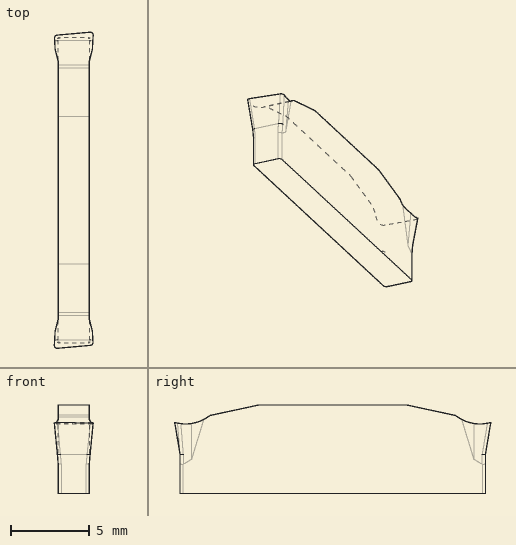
import cadquery as cq
import math

blade_width = 2.0
blade_height = 5.68
blade_half_length = 9.77
corner_radius = 0.2

flat_half_length = 4.71
crown_y, crown_z = 7.8, 5.01
groove_y, groove_z = 8.0, 4.9
groove_mid_y, groove_mid_z = 8.75, 4.55
land_y, land_z = 9.58, 4.47
tip_y, tip_z = 10.1, 4.55
crown_rise = 0.015

flare_angle = 5.0
relief_angle = 3.0
neck_angle = 16.0
root_y = 7.68
crease_y = 9.02
front_foot_z = 2.5
head_bottom_z = 1.62
head_top_z = 4.85
crease_foot_z = 2.2
far_tip_y = 10.13
near_tip_y = 9.9


def make_envelope():
    """Solid with the top outline, wider and longer than the part below the tips."""
    envelope_width = 2 * blade_width
    crown_mid = ((crown_y + groove_y) / 2, (crown_z + groove_z) / 2 + crown_rise)
    end_half = (
        cq.Workplane("YZ")
        .moveTo(0, 0)
        .lineTo(0, blade_height)
        .lineTo(flat_half_length, blade_height)
        .lineTo(crown_y, crown_z)
        .threePointArc(crown_mid, (groove_y, groove_z))
        .threePointArc((groove_mid_y, groove_mid_z), (land_y, land_z))
        .lineTo(tip_y, tip_z)
        .lineTo(tip_y, 0)
        .close()
        .extrude(envelope_width / 2, both=True)
    )
    return end_half.union(end_half.rotate((0, 0, 0), (0, 0, 1), 180))


def front_y(foot_y, edge_y, z):
    """Y of an end-face corner: upright below the foot, leaning outwards above it."""
    lean = (edge_y - foot_y) / (tip_z - front_foot_z)
    return foot_y + lean * max(0, z - front_foot_z)


def head_section(z):
    """Horizontal section of the +Y head as a closed wire."""
    crease_x = blade_width / 2 + (z - crease_foot_z) * math.tan(math.radians(flare_angle))
    root_x = crease_x - (crease_y - root_y) * math.tan(math.radians(neck_angle))
    far_y = front_y(blade_half_length, far_tip_y, z)
    near_y = front_y(blade_half_length, near_tip_y, z)
    relief = math.tan(math.radians(relief_angle))
    far_x = crease_x + (far_y - crease_y) * relief
    near_x = crease_x + (near_y - crease_y) * relief
    points = [
        (root_x, root_y),
        (crease_x, crease_y),
        (far_x, far_y),
        (-near_x, near_y),
        (-crease_x, crease_y),
        (-root_x, root_y),
    ]
    return cq.Wire.makePolygon([cq.Vector(x, y, z) for x, y in points], close=True)


def head_part(bottom_z, top_z):
    """Ruled block between two sections, with its two outer corners rounded."""
    block = cq.Workplane(cq.Solid.makeLoft([head_section(bottom_z), head_section(top_z)], True))
    corner_zone = cq.selectors.BoxSelector(
        (-blade_width, crease_y + corner_radius, bottom_z + corner_radius),
        (blade_width, tip_y + corner_radius, top_z - corner_radius),
    )
    return block.edges(corner_zone).fillet(corner_radius)


blade = (
    cq.Workplane("XY")
    .rect(blade_width, 2 * blade_half_length)
    .extrude(blade_height)
    .edges("|Z")
    .fillet(corner_radius)
)
head = head_part(head_bottom_z, front_foot_z).union(head_part(front_foot_z, head_top_z))
opposite_head = head.rotate((0, 0, 0), (0, 0, 1), 180)

result = blade.union(head).union(opposite_head).intersect(make_envelope())